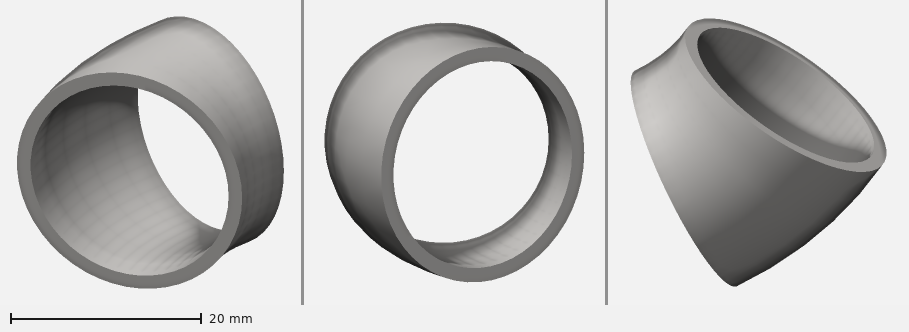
import cadquery as cq
import math

overall_length = 27.0
overall_depth = 20.0
bend_angle = 30.0
wall = 1.5

bend_radians = math.radians(bend_angle)
outside_bend_radius = overall_depth / math.sin(bend_radians)
inside_bend_radius = (outside_bend_radius - overall_length) / math.cos(bend_radians)

bend_radius = (outside_bend_radius + inside_bend_radius) / 2
outer_radius = (outside_bend_radius - inside_bend_radius) / 2
bore_radius = outer_radius - wall


def tube_bend():
    """Revolve the ring-shaped tube section about the bend axis, which is parallel to Z."""
    section = cq.Workplane("XZ").circle(outer_radius).circle(bore_radius)
    axis_start = (bend_radius, 0)
    axis_end = (bend_radius, -1)
    return section.revolve(bend_angle, axis_start, axis_end)


result = tube_bend()